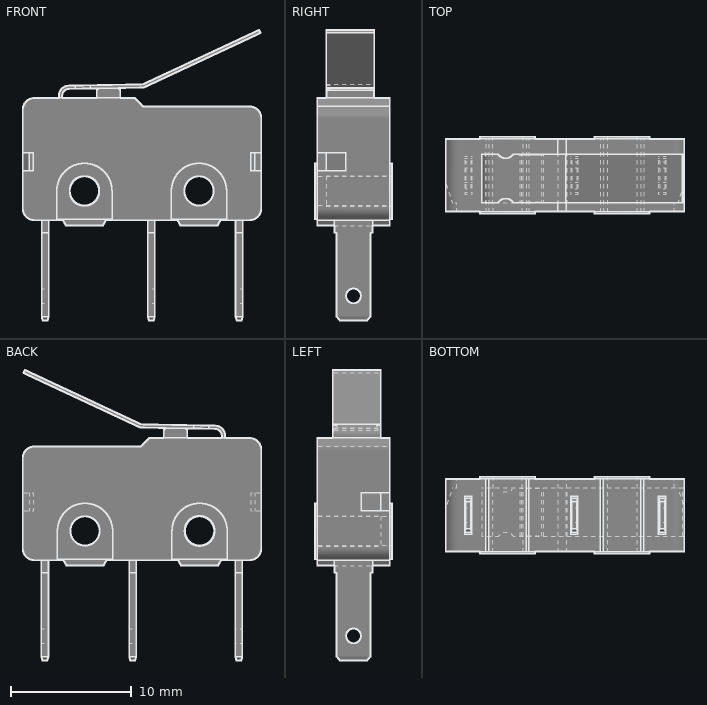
import cadquery as cq
import math


body_length = 19.8
body_width = 6.03
body_height = 10.15
low_top_height = 9.45
step_start_x = -0.6
corner_radius = 1.0
half_length = body_length / 2
half_width = body_width / 2

mount_x = (-4.78, 4.73)
mount_z = 2.44
mount_hole_diameter = 2.4
relief_diameter = 2.5
relief_depth = 0.92
pad_radius = 2.3
pad_thickness = 0.18
pad_bottom_z = 0.07
foot_top_length = 3.57
foot_bottom_length = 3.09
foot_height = 0.43

notch_bottom_z = 4.12
notch_top_z = 5.6
notch_depth = 0.9
notch_ramp_depth = 0.55
notch_ramp_start_y = -0.63
notch_ramp_end_y = -2.27

terminal_x = (-8.03, 0.77, 8.05)
terminal_thickness = 0.6
terminal_length = 8.32
terminal_width = 2.82
shoulder_width = 3.18
shoulder_length = 1.04
tip_length = 0.34
tip_side_taper = 0.3
tip_face_taper = 0.1
terminal_hole_diameter = 1.2
terminal_hole_z = -6.27
root_depth = 0.48

plunger_x = -2.77
plunger_length = 1.98
plunger_side_inset = 0.05
plunger_chamfer = 0.2

lever_thickness = 0.3
lever_width = 4.0
lever_y = -0.27
lever_left_x = -6.92
lever_bend_radius = 0.87
lever_kink_x = 0.07
lever_kink_z = 11.3
lever_tip_x = 9.72
lever_tip_z = 15.8
lever_tilt = 1.0
lever_notch_x = -4.92
lever_notch_length = 1.23
lever_notch_depth = 0.34

plunger_drop = (lever_kink_x - plunger_x) * math.tan(math.radians(lever_tilt))
plunger_overlap = 0.02
plunger_top_z = lever_kink_z - lever_thickness - plunger_drop + plunger_overlap


def box_between(x, y, z):
    """Box spanning the (low, high) pairs given for each axis."""
    size = (x[1] - x[0], y[1] - y[0], z[1] - z[0])
    return cq.Workplane("XY").box(*size, centered=False).translate((x[0], y[0], z[0]))


def extrude_along_y(profile, width, center_y=0.0):
    """Extrude an XZ profile to a width centred on center_y."""
    return profile.extrude(width / 2, both=True).translate((0, center_y, 0))


def make_housing():
    step_end_x = step_start_x + body_height - low_top_height
    profile = cq.Workplane("XZ").polyline([
        (-half_length, 0),
        (half_length, 0),
        (half_length, low_top_height),
        (step_end_x, low_top_height),
        (step_start_x, body_height),
        (-half_length, body_height),
    ]).close()
    housing = extrude_along_y(profile, body_width)
    return housing.edges("|Y and (<X or >X)").fillet(corner_radius)


def make_end_notch():
    """Notch cutter for the -X end, open towards -Y, with a ramped inner part."""
    return (
        cq.Workplane("XY", origin=(0, 0, notch_bottom_z))
        .polyline([
            (-half_length, notch_ramp_start_y),
            (-half_length + notch_ramp_depth, notch_ramp_end_y),
            (-half_length + notch_depth, notch_ramp_end_y),
            (-half_length + notch_depth, -half_width),
            (-half_length, -half_width),
        ])
        .close()
        .extrude(notch_top_z - notch_bottom_z)
    )


def make_pad(x):
    """Round-topped pad raised on both side faces around a mounting hole."""
    profile = (
        cq.Workplane("XZ")
        .moveTo(x - pad_radius, pad_bottom_z)
        .lineTo(x - pad_radius, mount_z)
        .threePointArc((x, mount_z + pad_radius), (x + pad_radius, mount_z))
        .lineTo(x + pad_radius, pad_bottom_z)
        .close()
    )
    return extrude_along_y(profile, body_width + 2 * pad_thickness)


def make_foot(x):
    """Tapered foot under the housing, below a mounting hole."""
    profile = cq.Workplane("XZ").polyline([
        (x - foot_top_length / 2, 0),
        (x + foot_top_length / 2, 0),
        (x + foot_bottom_length / 2, -foot_height),
        (x - foot_bottom_length / 2, -foot_height),
    ]).close()
    return extrude_along_y(profile, body_width)


def make_mount_hole(x):
    profile = cq.Workplane("XZ").center(x, mount_z).circle(mount_hole_diameter / 2)
    return extrude_along_y(profile, body_width + 2 * pad_thickness)


def make_hole_relief(x):
    """Slightly wider rear stretch of a mounting hole."""
    rear_y = half_width + pad_thickness
    length = 2 * rear_y - relief_depth
    return (
        cq.Workplane("XZ", origin=(x, rear_y, mount_z))
        .circle(relief_diameter / 2)
        .extrude(length)
    )


def make_terminal(x):
    """Blade terminal with shoulders, a cross hole and a tip tapered on all four sides."""
    half_blade = terminal_width / 2
    half_shoulder = shoulder_width / 2
    half_thickness = terminal_thickness / 2
    tip_z = tip_length - terminal_length
    half_outline = [
        (half_shoulder, root_depth),
        (half_shoulder, -shoulder_length),
        (half_blade, -shoulder_length),
        (half_blade, tip_z),
        (half_blade - tip_side_taper, -terminal_length),
    ]
    outline = half_outline + [(-y, z) for y, z in reversed(half_outline)]
    blade = cq.Workplane("YZ").polyline(outline).close().extrude(half_thickness, both=True)

    edge_profile = cq.Workplane("XZ").polyline([
        (-half_thickness, root_depth),
        (half_thickness, root_depth),
        (half_thickness, tip_z),
        (half_thickness - tip_face_taper, -terminal_length),
        (tip_face_taper - half_thickness, -terminal_length),
        (-half_thickness, tip_z),
    ]).close()
    blade = blade.intersect(extrude_along_y(edge_profile, shoulder_width))

    hole = (
        cq.Workplane("YZ")
        .center(0, terminal_hole_z)
        .circle(terminal_hole_diameter / 2)
        .extrude(half_thickness, both=True)
    )
    return blade.cut(hole).translate((x, 0, 0))


def make_plunger():
    half = plunger_length / 2
    half_plunger_width = lever_width / 2 - plunger_side_inset
    plunger = box_between(
        (plunger_x - half, plunger_x + half),
        (lever_y - half_plunger_width, lever_y + half_plunger_width),
        (body_height - root_depth, plunger_top_z),
    )
    return plunger.edges("|Y and >Z").chamfer(plunger_chamfer)


def make_lever_notch(side):
    """Arc-shaped nick in one long edge of the lever; side is +1 or -1."""
    edge_y = lever_y + side * lever_width / 2
    half = lever_notch_length / 2
    return (
        cq.Workplane("XY", origin=(0, 0, body_height))
        .moveTo(lever_notch_x - half, edge_y)
        .threePointArc(
            (lever_notch_x, edge_y - side * lever_notch_depth),
            (lever_notch_x + half, edge_y),
        )
        .close()
        .extrude(lever_kink_z - body_height + lever_thickness)
    )


def make_lever():
    """Bent strip: leg, rounded bend, flat stretch and rising blade."""
    rise = math.atan2(lever_tip_z - lever_kink_z, lever_tip_x - lever_kink_x)
    tilt = math.radians(lever_tilt)
    blade_length = math.hypot(lever_tip_x - lever_kink_x, lever_tip_z - lever_kink_z)
    blade_angle = rise - tilt
    tip_x = lever_kink_x + blade_length * math.cos(blade_angle)
    tip_z = lever_kink_z + blade_length * math.sin(blade_angle)

    inner_radius = lever_bend_radius - lever_thickness
    bend_x = lever_left_x + lever_bend_radius
    bend_z = lever_kink_z - lever_bend_radius
    leg_bottom_z = body_height - root_depth
    diagonal = math.sqrt(0.5)
    under_kink_x = lever_kink_x + lever_thickness * math.tan(blade_angle / 2)
    under_z = lever_kink_z - lever_thickness

    profile = (
        cq.Workplane("XZ")
        .moveTo(lever_left_x, leg_bottom_z)
        .lineTo(lever_left_x, bend_z)
        .threePointArc(
            (bend_x - lever_bend_radius * diagonal, bend_z + lever_bend_radius * diagonal),
            (bend_x, lever_kink_z),
        )
        .lineTo(lever_kink_x, lever_kink_z)
        .lineTo(tip_x, tip_z)
        .lineTo(
            tip_x + lever_thickness * math.sin(blade_angle),
            tip_z - lever_thickness * math.cos(blade_angle),
        )
        .lineTo(under_kink_x, under_z)
        .lineTo(bend_x, under_z)
        .threePointArc(
            (bend_x - inner_radius * diagonal, bend_z + inner_radius * diagonal),
            (bend_x - inner_radius, bend_z),
        )
        .lineTo(bend_x - inner_radius, leg_bottom_z)
        .close()
    )
    lever = extrude_along_y(profile, lever_width, lever_y)
    for side in (-1, 1):
        lever = lever.cut(make_lever_notch(side))
    kink = (lever_kink_x, 0, lever_kink_z)
    return lever.rotate(kink, (lever_kink_x, 1, lever_kink_z), -lever_tilt)


result = make_housing()

left_notch = make_end_notch()
result = result.cut(left_notch).cut(left_notch.mirror("YZ"))

for x in mount_x:
    result = result.union(make_pad(x)).union(make_foot(x))
for x in mount_x:
    result = result.cut(make_mount_hole(x))
result = result.cut(make_hole_relief(mount_x[0]))

for x in terminal_x:
    result = result.union(make_terminal(x))

result = result.union(make_plunger()).union(make_lever())